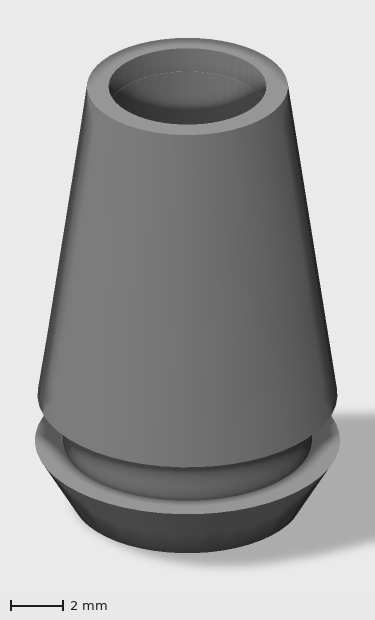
import cadquery as cq
import math

total_height = 18.0
collar_height = 2.5
groove_top = 4.5

collar_radius = 5.85
groove_radius = 4.77
nose_radius = 3.85

body_half_angle = 8.0
collar_half_angle = 30.0

bore_radius = 3.0
mouth_radius = 3.02
mouth_depth = 1.0

body_base_radius = nose_radius + (total_height - groove_top) * math.tan(math.radians(body_half_angle))
collar_base_radius = collar_radius - collar_height * math.tan(math.radians(collar_half_angle))


def make_outer_body():
    """Revolve the tapered body, the groove and the collar as one solid."""
    profile = (
        cq.Workplane("XZ")
        .moveTo(0, 0)
        .lineTo(collar_base_radius, 0)
        .lineTo(collar_radius, collar_height)
        .lineTo(groove_radius, collar_height)
        .lineTo(groove_radius, groove_top)
        .lineTo(body_base_radius, groove_top)
        .lineTo(nose_radius, total_height)
        .lineTo(0, total_height)
        .close()
    )
    return profile.revolve(360, (0, 0, 0), (0, 1, 0))


def make_bore():
    """Through bore with its wider mouth at the narrow end of the body."""
    bore = cq.Workplane("XY").circle(bore_radius).extrude(total_height)
    mouth = (
        cq.Workplane("XY")
        .workplane(offset=total_height - mouth_depth)
        .circle(mouth_radius)
        .extrude(mouth_depth)
    )
    return bore.union(mouth)


result = make_outer_body().cut(make_bore())